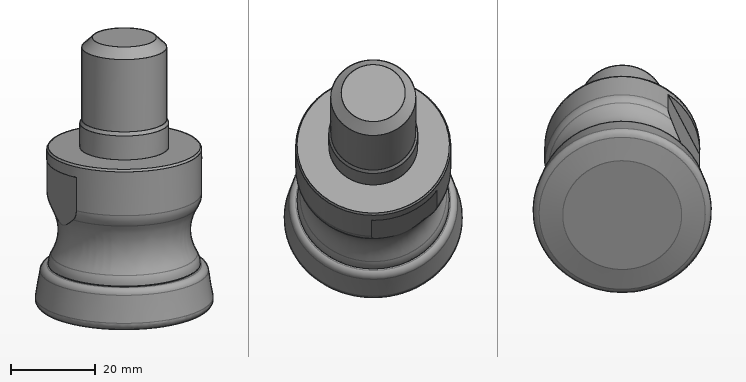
import cadquery as cq
import math

total_height = 67.0
shaft_radius = 20.0 / 2
shaft_chamfer_width = 2.5
shaft_chamfer_height = 2.35
shoulder_radius = 21.0 / 2
shoulder_top_z = 46.8
shoulder_chamfer_height = 0.9
collar_radius = 36.5 / 2
collar_top_z = 40.05
collar_chamfer_width = 0.35
collar_chamfer_height = 0.55
collar_bottom_z = 28.75

throat_radius = 15.6
throat_z = 19.6
throat_arc_radius = 11.7
lip_radius = 35.85 / 2

relief_height = 0.2
relief_depth = 0.35

flat_distance = 16.1
flat_top_z = 36.9

foot_top_z = 11.0
foot_top_radius = 19.6
foot_corner_radius = 21.25
foot_corner_z = 1.35
foot_contact_radius = 14.0
foot_top_fillet = 1.7
foot_bottom_fillet = 1.75


def outer_arc_radius(edge_radius, edge_z):
    """Radius of the convex arc that is vertical at the edge and tangent to the throat arc."""
    rise = edge_radius - throat_radius
    span = abs(edge_z - throat_z)
    center_distance = (rise**2 + span**2) / (2 * rise)
    return center_distance - throat_arc_radius


def convex_arc(edge_radius, edge_z):
    """Mid point of the convex arc and its tangent point on the throat arc."""
    arc_radius = outer_arc_radius(edge_radius, edge_z)
    side = math.copysign(1, edge_z - throat_z)
    sweep = math.asin(abs(edge_z - throat_z) / (arc_radius + throat_arc_radius))

    def point(angle):
        r = edge_radius - arc_radius * (1 - math.cos(angle))
        return (r, edge_z - side * arc_radius * math.sin(angle))

    return point(sweep / 2), point(sweep)


def make_stud():
    lip_z = foot_top_z + relief_height
    upper_mid, upper_tangent = convex_arc(collar_radius, collar_bottom_z)
    lower_mid, lower_tangent = convex_arc(lip_radius, lip_z)
    relief_radius = lip_radius - relief_depth
    stud = (
        cq.Workplane("XZ")
        .moveTo(0, total_height)
        .lineTo(shaft_radius - shaft_chamfer_width, total_height)
        .lineTo(shaft_radius, total_height - shaft_chamfer_height)
        .lineTo(shaft_radius, shoulder_top_z)
        .lineTo(shoulder_radius, shoulder_top_z - shoulder_chamfer_height)
        .lineTo(shoulder_radius, collar_top_z)
        .lineTo(collar_radius - collar_chamfer_width, collar_top_z)
        .lineTo(collar_radius, collar_top_z - collar_chamfer_height)
        .lineTo(collar_radius, collar_bottom_z)
        .threePointArc(upper_mid, upper_tangent)
        .threePointArc((throat_radius, throat_z), lower_tangent)
        .threePointArc(lower_mid, (lip_radius, lip_z))
        .lineTo(relief_radius, lip_z)
        .lineTo(relief_radius, foot_top_z)
        .lineTo(0, foot_top_z)
        .close()
        .revolve(360, (0, 0, 0), (0, 1, 0))
    )
    return cut_wrench_flats(stud)


def cut_wrench_flats(stud):
    """Cut two parallel flats, facing -Y and +Y, that run out in the waist."""
    cutter_width = 2 * collar_radius
    cutter_depth = collar_radius
    cutter_height = flat_top_z - throat_z
    for side in (-1, 1):
        cutter = cq.Workplane("XY").box(cutter_width, cutter_depth, cutter_height).translate(
            (0, side * (flat_distance + cutter_depth / 2), throat_z + cutter_height / 2)
        )
        stud = stud.cut(cutter)
    return stud


def make_foot():
    foot = (
        cq.Workplane("XZ")
        .moveTo(0, 0)
        .lineTo(foot_contact_radius, 0)
        .lineTo(foot_corner_radius, foot_corner_z)
        .lineTo(foot_top_radius, foot_top_z)
        .lineTo(0, foot_top_z)
        .close()
        .revolve(360, (0, 0, 0), (0, 1, 0))
    )
    lower_corner = cq.selectors.RadiusNthSelector(-1)
    foot = foot.edges("%CIRCLE").edges(lower_corner).fillet(foot_bottom_fillet)
    return foot.faces(">Z").edges().fillet(foot_top_fillet)


stud = make_stud()
foot = make_foot()
result = cq.Compound.makeCompound([stud.val(), foot.val()])